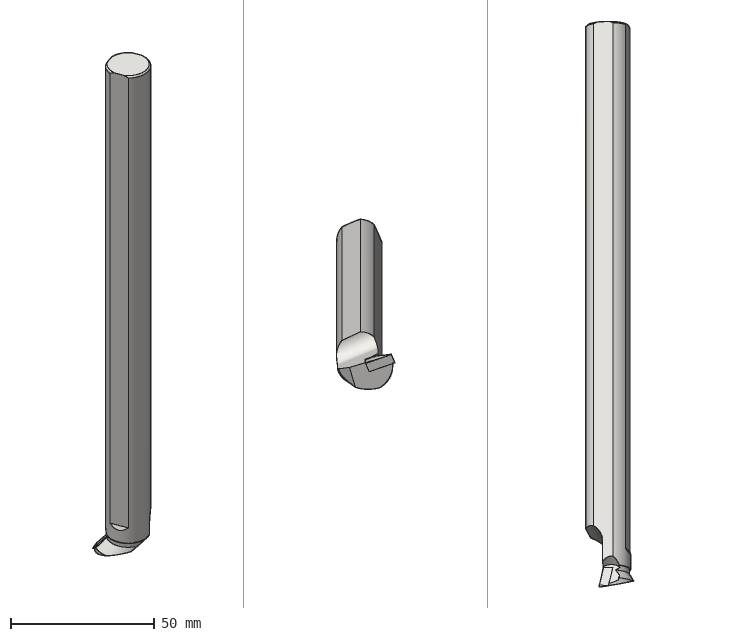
import cadquery as cq
import math

overall_length = 204.5
shank_radius = 8.0
flat_distance = 7.2
end_chamfer = 0.6
shank_bottom = 9.2
front_flat_end = 15.7
run_out_length = 1.5

neck_radius = 7.5
flare_top = 7.4
flare_bottom = 3.7
flare_radius = 10.0
flare_shift = -1.8
heel_x = 3.5
heel_z = 5.0

floor_y = 0.6
gully_radius = 6.1
gully_top = 22.7
gully_tilt = 12.0
floor_tilt = 2.5

tip_x = -12.3
clearance_angle = 5.0
insert_thickness = 3.3
insert_top_y = 0.2
flank_top_x = -5.7
flank_top_z = 8.5
flank_start_z = 0.8
underside_angle = math.degrees(math.atan2(heel_z, heel_x - tip_x))
insert_bottom_y = insert_top_y - insert_thickness
insert_back_x = -2.5

slot_radius = 3.7
slot_centre_y = -2.5
flank_angle = math.degrees(math.atan2(flank_top_z - flank_start_z, flank_top_x - tip_x))

margin = 20.5


def underside_z(x):
    """Height of the sloping underside at a given X."""
    return (x - tip_x) * math.tan(math.radians(underside_angle))


def prism_along_y(points, y_low, y_high):
    """Prism with an XZ outline between two Y positions."""
    return (
        cq.Workplane("XZ", origin=(0, y_high, 0))
        .polyline(points)
        .close()
        .extrude(y_high - y_low)
    )


def make_shank():
    length = overall_length - shank_bottom
    bar = cq.Workplane("XY", origin=(0, 0, shank_bottom)).circle(shank_radius).extrude(length)
    bar = bar.faces(">Z").chamfer(end_chamfer)
    left_and_back = cq.Workplane("XY").box(margin, margin, overall_length, centered=False)
    bar = bar.cut(left_and_back.translate((-flat_distance - margin, -margin / 2, 0)))
    bar = bar.cut(left_and_back.translate((-margin / 2, flat_distance, 0)))
    front_flat = (
        cq.Workplane("YZ", origin=(-margin / 2, 0, 0))
        .moveTo(-flat_distance, overall_length)
        .lineTo(-flat_distance, front_flat_end)
        .lineTo(-shank_radius, front_flat_end - run_out_length)
        .lineTo(-shank_radius - margin, front_flat_end - run_out_length)
        .lineTo(-shank_radius - margin, overall_length)
        .close()
        .extrude(margin)
    )
    return bar.cut(front_flat)


def make_head():
    neck = (
        cq.Workplane("XY", origin=(0, 0, flare_top))
        .circle(neck_radius)
        .extrude(shank_bottom - flare_top)
    )
    flare = (
        cq.Workplane("XY", origin=(0, 0, flare_top))
        .circle(neck_radius)
        .workplane(offset=flare_bottom - flare_top)
        .center(flare_shift, 0)
        .circle(flare_radius)
        .loft()
    )
    rim = (
        cq.Workplane("XY")
        .center(flare_shift, 0)
        .circle(flare_radius)
        .extrude(flare_bottom)
    )
    return neck.union(flare).union(rim)


def make_below_underside():
    """Material below the sloping underside, which rises toward -Y for clearance."""
    points = [
        (tip_x - margin, underside_z(tip_x - margin)),
        (heel_x + margin, underside_z(heel_x + margin)),
        (heel_x + margin, -margin),
        (tip_x - margin, -margin),
    ]
    block = prism_along_y(points, -margin, margin)
    axis_start = (tip_x, insert_top_y, 0)
    axis_end = (heel_x, insert_top_y, heel_z)
    return block.rotate(axis_start, axis_end, -clearance_angle)


def make_below_heel():
    """Material beyond the 45 degree heel on the +X side."""
    points = [
        (heel_x - margin, heel_z - margin),
        (heel_x + margin, heel_z + margin),
        (heel_x + margin, heel_z - margin),
    ]
    return prism_along_y(points, -margin, margin)


def make_gully():
    arc_point = gully_radius * (1 - math.sqrt(0.5))
    gully = (
        cq.Workplane("YZ", origin=(-margin, 0, 0))
        .moveTo(floor_y, -margin)
        .lineTo(floor_y, gully_top - gully_radius)
        .threePointArc(
            (floor_y + arc_point, gully_top - arc_point),
            (floor_y + gully_radius, gully_top),
        )
        .lineTo(margin, gully_top)
        .lineTo(margin, -margin)
        .close()
        .extrude(2 * margin)
    )
    gully = gully.rotate((0, 0, gully_top), (0, 1, gully_top), gully_tilt)
    return gully.rotate((0, floor_y, 0), (0, floor_y, 1), floor_tilt)


def make_flank_slot():
    """Slot whose floor is the flank plane and whose round end cuts the shank."""
    flank = math.radians(flank_angle)
    clearance = math.radians(clearance_angle)
    floor = cq.Plane(
        origin=(flank_top_x, insert_top_y, flank_top_z),
        xDir=(math.cos(flank), 0, math.sin(flank)),
        normal=(
            -math.sin(flank) * math.cos(clearance),
            -math.sin(clearance),
            math.cos(flank) * math.cos(clearance),
        ),
    )
    slot_offset = slot_centre_y - insert_top_y
    round_end = cq.Workplane(floor).center(-slot_radius / 2, slot_offset).circle(slot_radius).extrude(margin)
    straight = (
        cq.Workplane(floor)
        .center(-(slot_radius + margin) / 2, slot_offset)
        .rect(margin, 2 * slot_radius)
        .extrude(margin)
    )
    return round_end.union(straight)


def make_insert_blank(y_high):
    """Insert outline from the seat up to a given Y."""
    points = [
        (tip_x, underside_z(tip_x)),
        (insert_back_x, underside_z(insert_back_x)),
        (insert_back_x, flank_top_z),
        (flank_top_x, flank_top_z),
        (tip_x, flank_start_z),
    ]
    return prism_along_y(points, insert_bottom_y, y_high)


def make_insert():
    plate = make_insert_blank(insert_top_y)
    return plate.cut(make_below_underside()).cut(make_flank_slot())


insert = make_insert()
holder = make_shank().union(make_head())
holder = holder.cut(make_below_underside()).cut(make_below_heel())
holder = holder.cut(make_gully()).cut(make_flank_slot())
holder = holder.cut(make_insert_blank(margin))

result = cq.Compound.makeCompound([holder.val(), insert.val()])